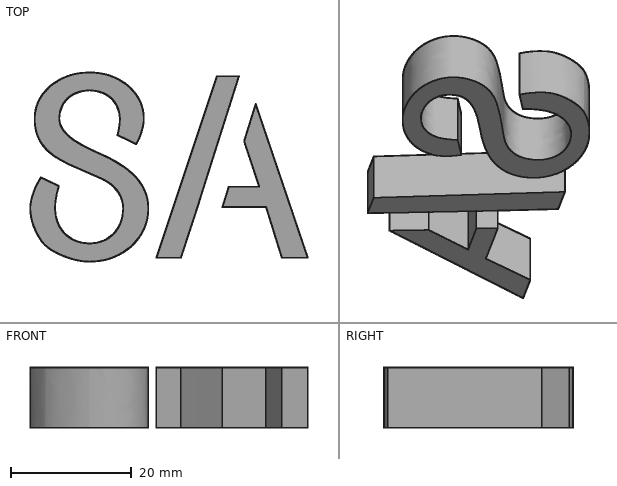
import cadquery as cq

depth = 10.0
baseline = 0.65
cap_line = 30.7
bar_bottom = 9.05
bar_top = 12.45

s_height = 31.35
bowl_center_x = 9.85
upper_bowl_y = 23.67
lower_bowl_y = 8.83
upper_outer_left = 0.75
upper_outer_right = 18.85
upper_inner_left = 4.83
upper_inner_right = 14.85
upper_inner_top = 28.35
lower_outer_right = 19.6
lower_inner_left = 4.15
lower_inner_right = 15.4
lower_inner_bottom = 3.05

upper_end_outer = (17.55, 19.45)
upper_end_inner = (14.45, 20.95)
lower_end_inner = (4.8, 12.55)
lower_end_outer = (1.8, 13.97)
spine_lower_start = (7.1, 15.8)
spine_lower_end = (11.8, 13.75)
spine_shoulder = (5.0, 16.85)
spine_shoulder_slope = -0.54
spine_upper_point = (11.15, 18.05)
spine_upper_slope = -0.42
spine_lower_slope = (spine_lower_end[1] - spine_lower_start[1]) / (spine_lower_end[0] - spine_lower_start[0])

lower_left_joint = (2.57, 2.65)
lower_left_slope = -0.9

bowl_fullness = 0.56
inner_fullness = 0.59
spine_fullness = 0.68
lower_spine_fullness = 0.64

slash_bottom_left = 20.85
slash_bottom_right = 24.95
slash_right_at_bar_bottom = 27.7
slash_right_at_bar_top = 28.8
slash_top_left = 30.9
slash_top_right = 34.55

a_apex = (37.35, 26.15)
a_shoulder = (35.4, 19.95)
a_foot_left = 41.65
a_foot_right = 45.95
a_leg_at_bar_bottom = 39.05
a_leg_at_bar_top = 37.9
bar_left_bottom = 31.8
bar_left_top = 32.85


def add_bends(outline, start, bends):
    """Add smooth bends; the tangents at both ends of a bend point at its corner."""
    for end, corner, fullness in bends:
        handles = [
            tuple(p + fullness * (c - p) for p, c in zip(point, corner))
            for point in (start, end)
        ]
        outline = outline.bezier([*handles, end], includeCurrent=True)
        start = end
    return outline


def tangent_at_x(point, slope, x):
    """Point at the given X on the line through a point."""
    return (x, point[1] + slope * (x - point[0]))


def tangent_at_y(point, slope, y):
    """Point at the given Y on the line through a point."""
    return (point[0] + (y - point[1]) / slope, y)


def end_corner(end, x, bowl_y):
    """Corner of the short bend between a bowl's widest point and a free end."""
    return (x, (end[1] + bowl_y) / 2)


def make_letter_s():
    shoulder_corner_x = (spine_shoulder[0] + spine_lower_start[0]) / 2
    shoulder_corner = tangent_at_x(spine_lower_start, spine_lower_slope, shoulder_corner_x)
    upper_end_to_spine = [
        ((upper_outer_right, upper_bowl_y),
         end_corner(upper_end_outer, upper_outer_right, upper_bowl_y), bowl_fullness),
        ((bowl_center_x, s_height), (upper_outer_right, s_height), bowl_fullness),
        ((upper_outer_left, upper_bowl_y), (upper_outer_left, s_height), bowl_fullness),
        (spine_shoulder,
         tangent_at_x(spine_shoulder, spine_shoulder_slope, upper_outer_left), spine_fullness),
        (spine_lower_start, shoulder_corner, bowl_fullness),
    ]
    spine_to_lower_end = [
        ((lower_inner_right, lower_bowl_y),
         tangent_at_x(spine_lower_end, spine_lower_slope, lower_inner_right), lower_spine_fullness),
        ((bowl_center_x, lower_inner_bottom), (lower_inner_right, lower_inner_bottom), inner_fullness),
        ((lower_inner_left, lower_bowl_y), (lower_inner_left, lower_inner_bottom), inner_fullness),
        (lower_end_inner, end_corner(lower_end_inner, lower_inner_left, lower_bowl_y), bowl_fullness),
    ]
    lower_end_to_upper_end = [
        ((0, lower_bowl_y), end_corner(lower_end_outer, 0, lower_bowl_y), bowl_fullness),
        (lower_left_joint, tangent_at_x(lower_left_joint, lower_left_slope, 0), bowl_fullness),
        ((bowl_center_x, 0), tangent_at_y(lower_left_joint, lower_left_slope, 0), bowl_fullness),
        ((lower_outer_right, lower_bowl_y), (lower_outer_right, 0), bowl_fullness),
        (spine_upper_point,
         tangent_at_x(spine_upper_point, spine_upper_slope, lower_outer_right), spine_fullness),
        ((upper_inner_left, upper_bowl_y),
         tangent_at_x(spine_upper_point, spine_upper_slope, upper_inner_left), spine_fullness),
        ((bowl_center_x, upper_inner_top), (upper_inner_left, upper_inner_top), inner_fullness),
        ((upper_inner_right, upper_bowl_y), (upper_inner_right, upper_inner_top), inner_fullness),
        (upper_end_inner, end_corner(upper_end_inner, upper_inner_right, upper_bowl_y), bowl_fullness),
    ]
    outline = cq.Workplane("XY").moveTo(*upper_end_outer)
    outline = add_bends(outline, upper_end_outer, upper_end_to_spine)
    outline = outline.lineTo(*spine_lower_end)
    outline = add_bends(outline, spine_lower_end, spine_to_lower_end)
    outline = outline.lineTo(*lower_end_outer)
    outline = add_bends(outline, lower_end_outer, lower_end_to_upper_end)
    return outline.close().extrude(depth)


def make_slash():
    points = [
        (slash_bottom_left, baseline),
        (slash_bottom_right, baseline),
        (slash_right_at_bar_bottom, bar_bottom),
        (slash_right_at_bar_top, bar_top),
        (slash_top_right, cap_line),
        (slash_top_left, cap_line),
    ]
    return cq.Workplane("XY").polyline(points).close().extrude(depth)


def make_letter_a():
    points = [
        a_apex,
        (a_foot_right, baseline),
        (a_foot_left, baseline),
        (a_leg_at_bar_bottom, bar_bottom),
        (bar_left_bottom, bar_bottom),
        (bar_left_top, bar_top),
        (a_leg_at_bar_top, bar_top),
        a_shoulder,
    ]
    return cq.Workplane("XY").polyline(points).close().extrude(depth)


letter_s = make_letter_s()
slash = make_slash()
letter_a = make_letter_a()

result = cq.Compound.makeCompound([letter_s.val(), slash.val(), letter_a.val()])